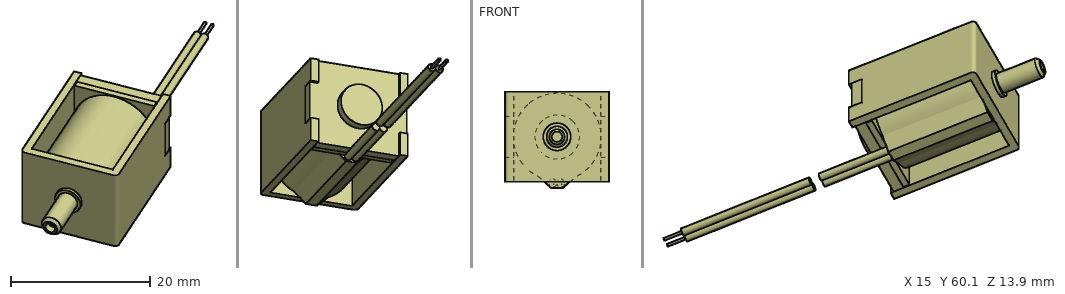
import cadquery as cq


frame_width = 15.0
frame_length = 20.15
frame_height = 13.0
wall = 1.2
bend_radius = 0.6
inner_width = frame_width - 2 * wall

plate_front = 18.0
plate_rear = 19.65
tab_height = 5.9
boss_diameter = 6.4
boss_rear = 21.05

coil_rear = 17.05
flange_clearance = 0.1
ridge_bottom = -7.4
ridge_bottom_width = 1.7
ridge_top = -5.4
ridge_top_width = 6.0

collar_diameter = 3.95
collar_length = 0.55
nozzle_diameter = 3.0
nozzle_length = 7.15
tip_chamfer_length = 0.5
tip_chamfer_width = 0.4
bore_diameter = 1.5
bore_depth = 1.2

wire_diameter = 1.15
wire_z = -6.6
wire_pair_offset = -0.05
wire_gap_start = 28.0
wire_gap_end = 29.55
insulation_end = 50.0
conductor_diameter = 0.4
conductor_end = 52.95
wire_positions = [wire_pair_offset - wire_diameter / 2, wire_pair_offset + wire_diameter / 2]


def box_between(width, y_start, y_end, height):
    """Box centred on the solenoid axis, reaching from y_start to y_end."""
    length = y_end - y_start
    return cq.Workplane("XY").box(width, length, height).translate((0, y_start + length / 2, 0))


def rod(diameter, y_start, y_end, x=0, z=0):
    """Round rod parallel to Y, reaching from y_start to y_end."""
    start = cq.Vector(x, y_start, z)
    solid = cq.Solid.makeCylinder(diameter / 2, y_end - y_start, start, cq.Vector(0, 1, 0))
    return cq.Workplane(obj=solid)


def cut_wire_grooves(body):
    """Clear the path of both wires along the underside of a body."""
    for x in wire_positions:
        body = body.cut(rod(wire_diameter, coil_rear, wire_gap_start, x, wire_z))
    return body


def make_frame():
    outer = box_between(frame_width, 0, frame_length, frame_height)
    outer = outer.edges("|Z and <Y").fillet(bend_radius)
    cavity = box_between(inner_width, wall, frame_length, frame_height)
    tab_notches = box_between(frame_width, plate_front, frame_length, tab_height)
    return outer.cut(cavity).cut(tab_notches)


def make_end_plate():
    plate = box_between(inner_width, plate_front, plate_rear, frame_height)
    tabs = box_between(frame_width, plate_front, plate_rear, tab_height)
    boss = rod(boss_diameter, plate_rear, boss_rear)
    return cut_wire_grooves(plate.union(tabs).union(boss))


def make_bobbin():
    coil = rod(inner_width, wall, coil_rear)
    ridge = (
        cq.Workplane("XZ", origin=(0, wall, 0))
        .polyline([
            (-ridge_top_width / 2, ridge_top),
            (-ridge_bottom_width / 2, ridge_bottom),
            (ridge_bottom_width / 2, ridge_bottom),
            (ridge_top_width / 2, ridge_top),
        ])
        .close()
        .extrude(wall - coil_rear)
    )
    flange_width = inner_width - 2 * flange_clearance
    flange = cut_wire_grooves(box_between(flange_width, coil_rear, plate_front, frame_height))
    return coil.union(ridge).union(flange)


def make_nozzle():
    """Turned collar and spigot with a chamfered tip and a blind bore."""
    nozzle_radius = nozzle_diameter / 2
    half_profile = [
        (0, 0),
        (collar_diameter / 2, 0),
        (collar_diameter / 2, -collar_length),
        (nozzle_radius, -collar_length),
        (nozzle_radius, tip_chamfer_length - nozzle_length),
        (nozzle_radius - tip_chamfer_width, -nozzle_length),
        (bore_diameter / 2, -nozzle_length),
        (bore_diameter / 2, bore_depth - nozzle_length),
        (0, bore_depth - nozzle_length),
    ]
    return cq.Workplane("XY").polyline(half_profile).close().revolve(360, (0, 0, 0), (0, 1, 0))


frame = make_frame()
end_plate = make_end_plate()
bobbin = make_bobbin()
nozzle = make_nozzle()

wire_stubs = []
insulations = []
conductors = []
for wire_x in wire_positions:
    wire_stubs.append(rod(wire_diameter, coil_rear, wire_gap_start, wire_x, wire_z).val())
    insulations.append(rod(wire_diameter, wire_gap_end, insulation_end, wire_x, wire_z).val())
    conductors.append(rod(conductor_diameter, insulation_end, conductor_end, wire_x, wire_z).val())

result = cq.Compound.makeCompound([
    frame.val(),
    end_plate.val(),
    bobbin.val(),
    nozzle.val(),
    *wire_stubs,
    *insulations,
    *conductors,
])